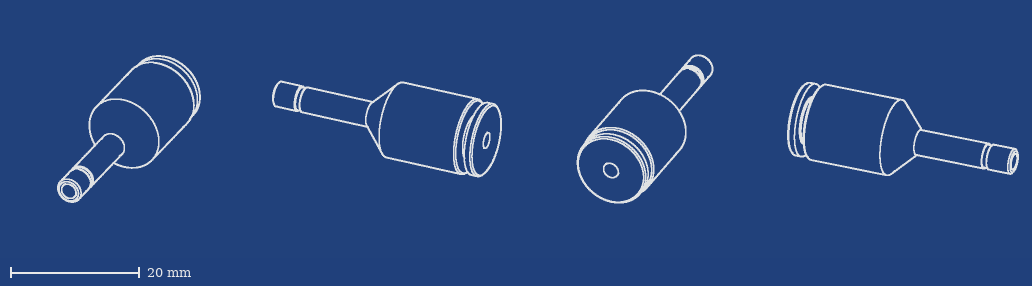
import cadquery as cq

total_length = 35.7
body_radius = 6.0
stem_radius = 2.0
bore_radius = 1.25

tip_chamfer_length = 0.25
tip_chamfer_depth = 0.32
groove_start = 3.82
groove_end = 4.68
groove_depth = 0.18
groove_taper_length = 0.1

cone_start = 16.0
cone_length = 4.07
body_end = 33.02
body_chamfer = 0.25
rear_face_rise = 0.2

neck_radius = 3.65
neck_taper_length = 0.2
neck_taper_height = 0.1
flange_radius = 5.8
flange_thickness = 1.2
flange_chamfer = 0.25

flange_front = total_length - flange_thickness
groove_radius = stem_radius - groove_depth

stem_profile = [
    (bore_radius, 0),
    (stem_radius - tip_chamfer_depth, 0),
    (stem_radius, tip_chamfer_length),
    (stem_radius, groove_start),
    (groove_radius, groove_start + groove_taper_length),
    (groove_radius, groove_end),
    (stem_radius, groove_end),
    (stem_radius, cone_start),
]
body_profile = [
    (body_radius, cone_start + cone_length),
    (body_radius, body_end - body_chamfer),
    (body_radius - body_chamfer, body_end),
    (neck_radius, body_end + rear_face_rise),
]
collar_profile = [
    (neck_radius, flange_front - neck_taper_length),
    (neck_radius + neck_taper_height, flange_front),
    (flange_radius, flange_front),
    (flange_radius, total_length - flange_chamfer),
    (flange_radius - flange_chamfer, total_length),
    (bore_radius, total_length),
]

result = (
    cq.Workplane("XY")
    .polyline(stem_profile + body_profile + collar_profile)
    .close()
    .revolve(360, (0, 0, 0), (0, 1, 0))
)